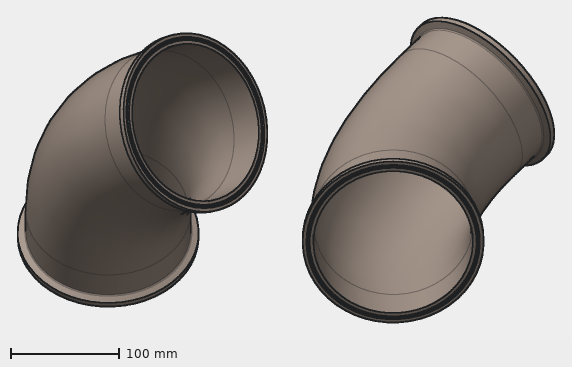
import cadquery as cq
import math

overall_height = 285.5
tube_diameter = 152.5
bore_diameter = 147.0
bend_angle = 45.0
straight_length = 38.0

flange_diameter = 167.0
rim_thickness = 5.7
back_slope = 20.0
root_fillet = 1.5

groove_mid_diameter = 157.0
groove_width = 3.0
groove_floor_width = 1.5
groove_depth = 1.5

tube_radius = tube_diameter / 2
bore_radius = bore_diameter / 2
flange_radius = flange_diameter / 2
groove_mid_radius = groove_mid_diameter / 2

bend_sine = math.sin(math.radians(bend_angle))
bend_cosine = math.cos(math.radians(bend_angle))
upper_end_rise = straight_length * bend_cosine + flange_radius * bend_sine
bend_radius = (overall_height - straight_length - upper_end_rise) / bend_sine


def flanged_end():
    """Straight tube with its flange face on Z = 0, rising to the bend tangent."""
    slope = math.radians(back_slope)
    root_height = rim_thickness + (flange_radius - tube_radius) * math.tan(slope)
    tangent_length = root_fillet * math.tan((math.pi / 2 - slope) / 2)
    fillet_start = (
        tube_radius + tangent_length * math.cos(slope),
        root_height - tangent_length * math.sin(slope),
    )
    fillet_end = (tube_radius, root_height + tangent_length)
    fillet_center = (tube_radius + root_fillet, fillet_end[1])
    mid_angle = math.pi + (math.pi / 2 - slope) / 2
    fillet_middle = (
        fillet_center[0] + root_fillet * math.cos(mid_angle),
        fillet_center[1] + root_fillet * math.sin(mid_angle),
    )
    return (
        cq.Workplane("XZ")
        .moveTo(bore_radius, 0)
        .lineTo(groove_mid_radius - groove_width / 2, 0)
        .lineTo(groove_mid_radius - groove_floor_width / 2, groove_depth)
        .lineTo(groove_mid_radius + groove_floor_width / 2, groove_depth)
        .lineTo(groove_mid_radius + groove_width / 2, 0)
        .lineTo(flange_radius, 0)
        .lineTo(flange_radius, rim_thickness)
        .lineTo(*fillet_start)
        .threePointArc(fillet_middle, fillet_end)
        .lineTo(tube_radius, straight_length)
        .lineTo(bore_radius, straight_length)
        .close()
        .revolve(360, (0, 0), (0, 1))
    )


def bend():
    """Curved tube from the lower tangent plane, turning toward +X."""
    return (
        cq.Workplane("XY", origin=(0, 0, straight_length))
        .circle(tube_radius)
        .circle(bore_radius)
        .revolve(bend_angle, (bend_radius, 0), (bend_radius, 1))
    )


lower_end = flanged_end()
upper_end = lower_end.mirror("XY", (0, 0, straight_length)).rotate(
    (bend_radius, 0, straight_length),
    (bend_radius, 1, straight_length),
    bend_angle,
)

result = lower_end.union(bend()).union(upper_end)